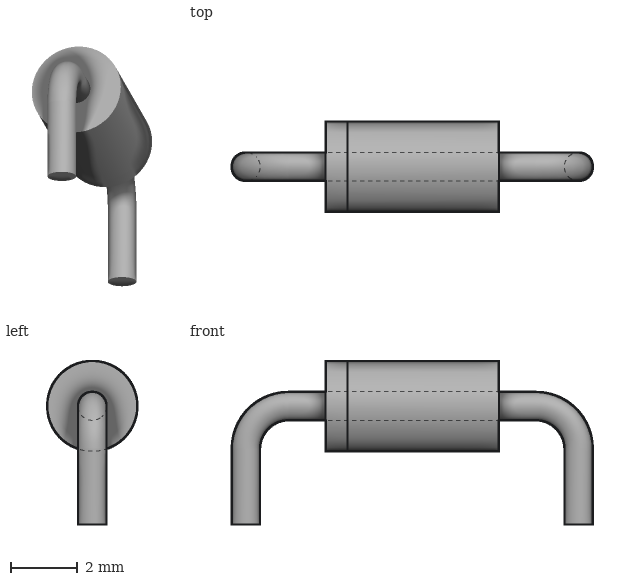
import cadquery as cq


lead_diameter = 0.86
lead_pitch = 10.0
leg_depth = 2.2
body_diameter = 2.72
body_length = 5.2
band_width = 0.66

bend_radius = 1.5 * lead_diameter
axis_height = body_diameter / 2
leg_x = lead_pitch / 2
straight_end_x = leg_x - bend_radius
bend_end_z = axis_height - bend_radius
body_start_x = -body_length / 2
band_end_x = body_start_x + band_width


def bored_cylinder(start_x, length):
    """Cylinder of body diameter along X, with a through hole for the lead."""
    return (
        cq.Workplane("YZ", origin=(start_x, 0, axis_height))
        .circle(body_diameter / 2)
        .circle(lead_diameter / 2)
        .extrude(length)
    )


def make_lead():
    """One continuous round wire: leg, bend, straight run through the body, bend, leg."""
    centreline = (
        cq.Workplane("XZ")
        .moveTo(-leg_x, -leg_depth)
        .lineTo(-leg_x, bend_end_z)
        .tangentArcPoint((-straight_end_x, axis_height), relative=False)
        .lineTo(straight_end_x, axis_height)
        .tangentArcPoint((leg_x, bend_end_z), relative=False)
        .lineTo(leg_x, -leg_depth)
    )
    leg_tip = cq.Workplane("XY", origin=(-leg_x, 0, -leg_depth))
    return leg_tip.circle(lead_diameter / 2).sweep(centreline)


cathode_band = bored_cylinder(body_start_x, band_width)
body = bored_cylinder(band_end_x, body_length - band_width)
lead = make_lead()

result = cq.Compound.makeCompound([cathode_band.val(), body.val(), lead.val()])